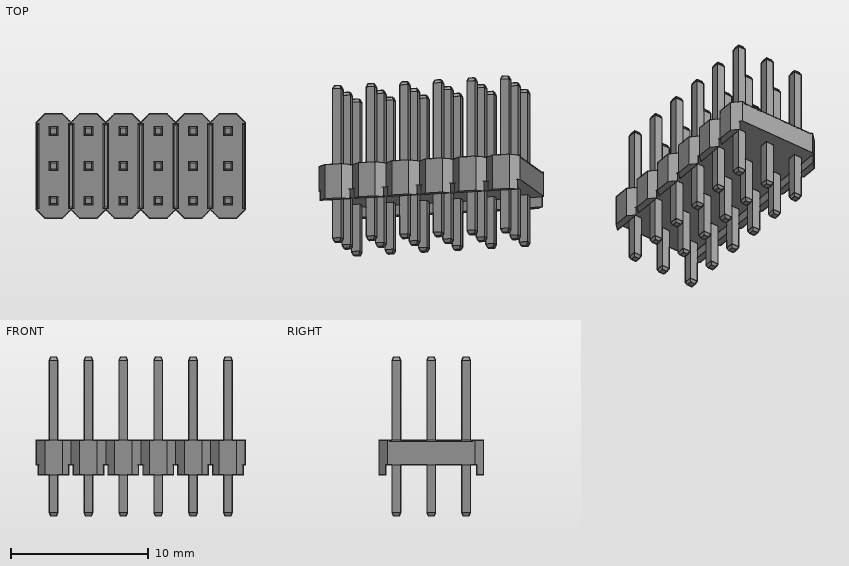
import cadquery as cq
import math

pitch = 2.54
columns = 6
rows = 3

body_length = columns * pitch
body_width = rows * pitch
body_height = 2.54
corner_cut = pitch / 4

foot_height = 0.74
foot_depth = 0.5
foot_side_inset = 0.15

groove_width = 0.4
groove_length = 6.2
groove_depth = 0.1
groove_taper_angle = 45

pin_size = 0.64
pin_length = 11.6
pin_below_body = 3.0
tip_height = 0.25
tip_inset = 0.11
tip_taper_angle = math.degrees(math.atan(tip_inset / tip_height))

column_positions = [(i - (columns - 1) / 2) * pitch for i in range(columns)]
row_positions = [(i - (rows - 1) / 2) * pitch for i in range(rows)]
boundary_positions = [(i - columns / 2) * pitch for i in range(columns + 1)]


def make_cell(x):
    """One column of the body: a block with its four vertical corners cut off."""
    cell = cq.Workplane("XY").box(pitch, body_width, body_height, centered=(True, True, False))
    return cell.edges("|Z").chamfer(corner_cut).translate((x, 0, 0))


def make_long_channel():
    """Channel under the body, along X, between the two rows of feet."""
    channel_width = body_width - 2 * foot_depth
    return cq.Workplane("XY").box(body_length, channel_width, foot_height, centered=(True, True, False))


def make_cross_channel(x):
    """Channel under the body, along Y, between neighbouring columns of feet."""
    channel = cq.Workplane("XY").box(
        2 * foot_side_inset, body_width, foot_height, centered=(True, True, False)
    )
    return channel.translate((x, 0, 0))


def make_groove(x):
    """Shallow groove along a column boundary, narrowing downward on all sides."""
    return (
        cq.Workplane("XY", origin=(x, 0, body_height))
        .rect(groove_width, groove_length)
        .extrude(-groove_depth, taper=groove_taper_angle)
    )


def make_body():
    """Row of cells with channels below and break grooves on top."""
    body = make_cell(column_positions[0])
    for x in column_positions[1:]:
        body = body.union(make_cell(x))
    body = body.cut(make_long_channel())
    for x in boundary_positions:
        body = body.cut(make_cross_channel(x))
        body = body.cut(make_groove(x))
    return body


def make_tip(z, direction):
    """Tapered pin end starting at height z, pointing up (1) or down (-1)."""
    return (
        cq.Workplane("XY", origin=(0, 0, z))
        .rect(pin_size, pin_size)
        .extrude(direction * tip_height, taper=tip_taper_angle)
    )


def make_pin(x, y):
    """Square pin through the body, with both ends tapered."""
    shaft_length = pin_length - 2 * tip_height
    shaft_bottom = tip_height - pin_below_body
    shaft_top = shaft_bottom + shaft_length
    shaft = cq.Workplane("XY", origin=(0, 0, shaft_bottom)).rect(pin_size, pin_size).extrude(shaft_length)
    pin = shaft.union(make_tip(shaft_top, 1)).union(make_tip(shaft_bottom, -1))
    return pin.translate((x, y, 0))


result = make_body()
for pin_x in column_positions:
    for pin_y in row_positions:
        result = result.union(make_pin(pin_x, pin_y))